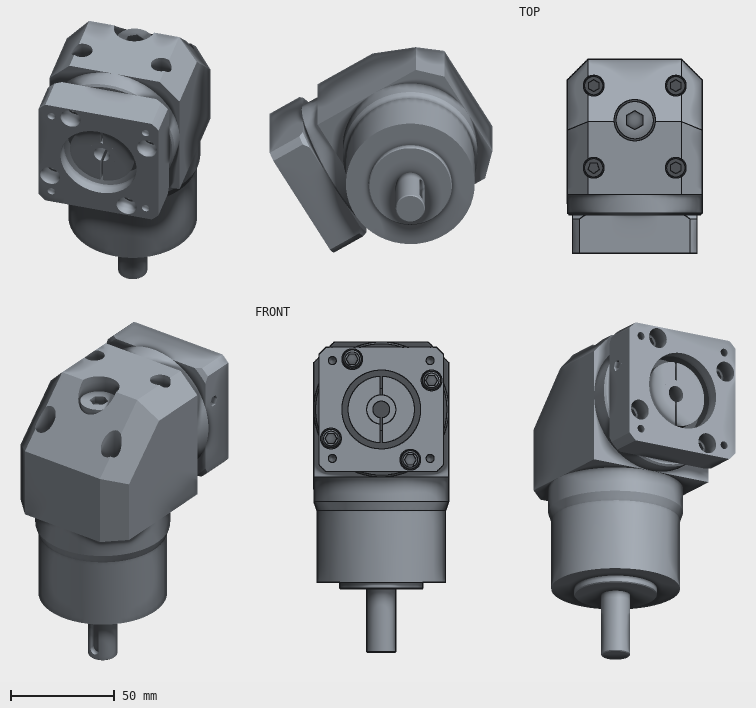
import cadquery as cq
import math


housing_size = 65.0
half_housing = housing_size / 2
back_slope = 30.0
side_chamfer = 10.0
input_z = half_housing

shoulder_length = 11.8
taper_length = 4.3
barrel_diameter = 62.0
barrel_bottom = -50.7
collar_diameter = 40.0
collar_length = 3.3
shaft_diameter = 14.0
overall_height = 149.5
shaft_tip = housing_size - overall_height
edge_break = 0.5

keyway_width = 5.0
keyway_length = 24.5
keyway_depth = 3.0
keyway_collar_gap = 3.1
keyway_top = barrel_bottom - collar_length - keyway_collar_gap

flange_length = 9.9
flange_chamfer = 0.9
flange_face = -half_housing - flange_length
plate_thickness = 18.5
plate_front = flange_face - plate_thickness
plate_size = 60.0
plate_corner_radius = 40.0
plate_back_chamfer = 2.0
pilot_diameter = 38.0
pilot_depth = 6.5
cavity_diameter = 42.0

hub_diameter = 32.0
hub_length = 12.5
hub_core_diameter = 20.2
hub_core_depth = 3.0
bushing_diameter = 14.0
bushing_bore = 8.0
bushing_length = hub_length + hub_core_depth
slot_width = 1.3

screw_circle_radius = 28.0
screw_hole_diameter = 10.0
screw_head_diameter = 8.8
screw_head_height = 5.1
screw_head_chamfer = 0.9
screw_key = 5.0
screw_key_depth = 2.4
housing_screw_floor = 25.0
plate_screw_depth = 13.0
plate_screw_angle = 30.0

mount_hole_pitch = 47.1
mount_hole_diameter = 3.9
mount_hole_depth = 8.0
drill_point_angle = 118.0

oil_plug_y = 3.1
oil_plug_diameter = 18.0
oil_plug_top = 57.3
oil_plug_key = 7.9
oil_plug_key_depth = 4.0
oil_hole_diameter = 19.9
oil_hole_floor = 50.0

side_plug_setback = 11.7
side_plug_rise = 10.8
side_plug_y = plate_front + side_plug_setback
side_plug_z = input_z + side_plug_rise
side_plug_diameter = 7.9
side_plug_length = 8.0
side_plug_key = 5.0
side_plug_key_depth = 5.0


def corner_diameter(across_flats):
    return across_flats / math.cos(math.pi / 6)


def input_plane(y):
    """Plane on the input axis facing -Y: local x is X, local y is Z."""
    return cq.Workplane("XZ", origin=(0, y, input_z))


def input_cylinder(diameter, y, length):
    """Cylinder on the input axis that runs from y towards -Y."""
    return input_plane(y).circle(diameter / 2).extrude(length)


def socket_screw_head(key_sides):
    """Plain screw head on z = 0, pointing up, with a corner of its socket on the Y axis."""
    socket_turn = -90
    socket = (
        cq.Workplane("XY", origin=(0, 0, screw_head_height))
        .polygon(key_sides, corner_diameter(screw_key))
        .extrude(-screw_key_depth)
        .rotate((0, 0, 0), (0, 0, 1), socket_turn)
    )
    head = (
        cq.Workplane("XY")
        .circle(screw_head_diameter / 2)
        .extrude(screw_head_height)
    )
    return head.cut(socket)


def housing_block():
    """Square block with a 45 degree back slope and chamfers along both sides."""
    block = (
        cq.Workplane("YZ", origin=(-half_housing, 0, 0))
        .moveTo(-half_housing, 0)
        .lineTo(half_housing, 0)
        .lineTo(half_housing, housing_size - back_slope)
        .lineTo(half_housing - back_slope, housing_size)
        .lineTo(-half_housing, housing_size)
        .close()
        .extrude(housing_size)
    )
    return block.faces("<X or >X").edges("not (<Y or <Z)").chamfer(side_chamfer)


def output_barrel():
    """Turned barrel, collar and shaft below the housing."""
    barrel_radius = barrel_diameter / 2
    collar_radius = collar_diameter / 2
    shaft_radius = shaft_diameter / 2
    collar_bottom = barrel_bottom - collar_length
    return (
        cq.Workplane("XZ")
        .moveTo(0, 0)
        .lineTo(half_housing, 0)
        .lineTo(half_housing, -shoulder_length)
        .lineTo(barrel_radius, -shoulder_length - taper_length)
        .lineTo(barrel_radius, barrel_bottom)
        .lineTo(collar_radius, barrel_bottom)
        .lineTo(collar_radius, collar_bottom + edge_break)
        .lineTo(collar_radius - edge_break, collar_bottom)
        .lineTo(shaft_radius, collar_bottom)
        .lineTo(shaft_radius, shaft_tip + edge_break)
        .lineTo(shaft_radius - edge_break, shaft_tip)
        .lineTo(0, shaft_tip)
        .close()
        .revolve(360, (0, 0, 0), (0, 1, 0))
    )


def shaft_keyway():
    """Round-ended slot, cut from the back of the shaft."""
    keyway_floor = shaft_diameter / 2 - keyway_depth
    return (
        cq.Workplane("XZ", origin=(0, keyway_floor, keyway_top - keyway_length / 2))
        .slot2D(keyway_length, keyway_width, 90)
        .extrude(-shaft_diameter)
    )


def input_flange():
    """Round flange on the front of the housing."""
    flange = input_cylinder(housing_size, -half_housing, flange_length)
    return flange.faces("<Y").chamfer(flange_chamfer)


def clamping_hub():
    """Round hub that stands on the input flange."""
    return input_cylinder(hub_diameter, flange_face, hub_length)


def hub_cutouts():
    """Bushing bore and the clamping slot, which is deeper around the bore."""
    core_bottom = flange_face + hub_core_depth
    bore = input_cylinder(bushing_diameter, core_bottom, bushing_length)
    slot = input_plane(flange_face).rect(slot_width, hub_diameter).extrude(hub_length)
    core_slot = (
        input_plane(core_bottom)
        .rect(slot_width, hub_core_diameter)
        .extrude(hub_core_depth)
        .intersect(input_cylinder(hub_core_diameter, core_bottom, hub_core_depth))
    )
    return bore.union(slot).union(core_slot)


def oil_plug():
    """Raised round plug with a hexagon socket that has two corners on its Y axis."""
    return (
        cq.Workplane("XY", origin=(0, oil_plug_y, oil_hole_floor))
        .circle(oil_plug_diameter / 2)
        .extrude(oil_plug_top - oil_hole_floor)
        .cut(
            cq.Workplane("XY")
            .polygon(6, corner_diameter(oil_plug_key))
            .extrude(-oil_plug_key_depth)
            .rotate((0, 0, 0), (0, 0, 1), 90)
            .translate((0, oil_plug_y, oil_plug_top))
        )
    )


def make_gearbox():
    """Housing with barrel, shaft, flange, hub, housing screws and oil plug in one solid."""
    gearbox = housing_block().union(output_barrel()).cut(shaft_keyway())
    gearbox = gearbox.union(input_flange()).union(clamping_hub()).cut(hub_cutouts())

    oil_hole = (
        cq.Workplane("XY", origin=(0, oil_plug_y, oil_hole_floor))
        .circle(oil_hole_diameter / 2)
        .extrude(housing_size)
    )
    gearbox = gearbox.cut(oil_hole).union(oil_plug())

    offset = screw_circle_radius * math.sqrt(0.5)
    for side_x in (-1, 1):
        for side_y in (-1, 1):
            spot = (side_x * offset, side_y * offset, housing_screw_floor)
            key_sides = 5 if (side_x, side_y) == (-1, -1) else 6
            hole = (
                cq.Workplane("XY", origin=spot)
                .circle(screw_hole_diameter / 2)
                .extrude(housing_size)
            )
            gearbox = gearbox.cut(hole).union(socket_screw_head(key_sides).translate(spot))
    return gearbox


def turned_plate_envelope():
    """Cylinder with a back chamfer that rounds the four plate corners."""
    disc = input_cylinder(2 * plate_corner_radius, flange_face, plate_thickness)
    return disc.faces(">Y").chamfer(plate_back_chamfer)


def mount_holes():
    """Four blind motor mounting holes with conical drill points."""
    radius = mount_hole_diameter / 2
    point_length = radius / math.tan(math.radians(drill_point_angle / 2))
    drill = (
        cq.Workplane("XY")
        .lineTo(radius, 0)
        .lineTo(radius, mount_hole_depth)
        .lineTo(0, mount_hole_depth + point_length)
        .close()
        .revolve(360, (0, 0, 0), (0, 1, 0))
    )
    holes = cq.Workplane("XY")
    for side_x in (-1, 1):
        for side_z in (-1, 1):
            x = side_x * mount_hole_pitch / 2
            z = input_z + side_z * mount_hole_pitch / 2
            holes = holes.union(drill.translate((x, plate_front, z)))
    return holes


def side_plug_hole():
    """Round hole from the left side of the plate into its cavity."""
    return (
        cq.Workplane("YZ", origin=(-plate_size / 2, side_plug_y, side_plug_z))
        .circle(side_plug_diameter / 2)
        .extrude(plate_size / 2)
    )


def make_adapter_plate():
    """Square motor plate with its pilot bore, cavity, holes and screws."""
    plate = (
        input_plane(flange_face)
        .rect(plate_size, plate_size)
        .extrude(plate_thickness)
        .intersect(turned_plate_envelope())
        .cut(input_cylinder(pilot_diameter, flange_face, plate_thickness))
        .cut(input_cylinder(cavity_diameter, flange_face, plate_thickness - pilot_depth))
        .cut(mount_holes())
        .cut(side_plug_hole())
    )
    head = (
        socket_screw_head(6)
        .faces(">Z")
        .edges("%CIRCLE")
        .chamfer(screw_head_chamfer)
        .rotate((0, 0, 0), (0, 0, 1), 90)
        .rotate((0, 0, 0), (1, 0, 0), 90)
    )
    floor_y = plate_front + plate_screw_depth
    for quarter in range(4):
        angle = math.radians(plate_screw_angle + 90 * quarter)
        x = screw_circle_radius * math.cos(angle)
        z = screw_circle_radius * math.sin(angle)
        hole = (
            input_plane(floor_y)
            .center(x, z)
            .circle(screw_hole_diameter / 2)
            .extrude(plate_screw_depth)
        )
        plate = plate.cut(hole).union(head.translate((x, floor_y, input_z + z)))
    return plate


def make_bushing():
    """Sleeve in the hub bore, slit on its lower side."""
    bottom = flange_face + hub_core_depth
    slit = (
        input_plane(bottom)
        .center(0, -bushing_diameter / 2)
        .rect(slot_width, bushing_diameter)
        .extrude(bushing_length)
    )
    return (
        input_cylinder(bushing_diameter, bottom, bushing_length)
        .cut(input_cylinder(bushing_bore, bottom, bushing_length))
        .cut(slit)
    )


def make_side_plug():
    """Plug flush with the left side of the plate, with a hexagon socket."""
    plate_side = cq.Workplane("YZ", origin=(-plate_size / 2, side_plug_y, side_plug_z))
    socket = plate_side.polygon(6, corner_diameter(side_plug_key)).extrude(side_plug_key_depth)
    return plate_side.circle(side_plug_diameter / 2).extrude(side_plug_length).cut(socket)


gearbox = make_gearbox()
adapter_plate = make_adapter_plate()
bushing = make_bushing()
side_plug = make_side_plug()

result = cq.Compound.makeCompound(
    [gearbox.val(), adapter_plate.val(), bushing.val(), side_plug.val()]
)